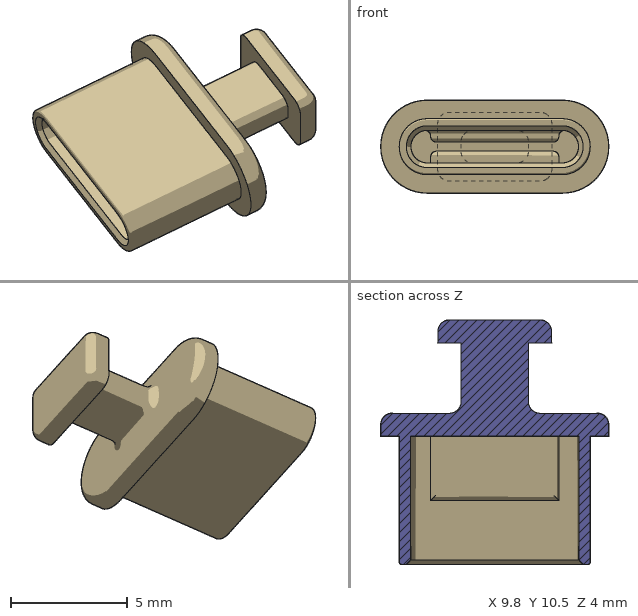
import cadquery as cq

total_length = 10.5
plate_thickness = 1.0
head_thickness = 1.0
neck_length = 3.0
tube_length = total_length - plate_thickness - neck_length - head_thickness

plate_width = 9.8
plate_height = 4.0
tube_width = 8.2
tube_height = 2.4
wall = 0.5
neck_width = 2.9
neck_height = 1.4
head_width = 4.9
head_height = 2.95

edge_radius = 0.5
lip_radius = 0.1
mouth_chamfer = 0.2

rib_width = 5.5
rib_height = 0.5
rib_radius = rib_height / 2
rib_length = tube_length / 2

plate_front = tube_length
plate_back = plate_front + plate_thickness
head_front = plate_back + neck_length
cavity_width = tube_width - 2 * wall
cavity_height = tube_height - 2 * wall
rib_front = tube_length - rib_length
root_margin = 0.1
overlap = wall / 2


def section_plane(y):
    """Sketch plane at the given Y, with its normal toward +Y."""
    return cq.Workplane(cq.Plane(origin=(0, y, 0), xDir=(1, 0, 0), normal=(0, 1, 0)))


def stadium(width, height, y, length):
    return section_plane(y).slot2D(width, height).extrude(length)


def rounded_bar(width, height, y, length):
    return section_plane(y).rect(width, height).extrude(length).edges("|Y").fillet(edge_radius)


def make_handle():
    """Flange plate, neck flared into it, and grip head."""
    plate = stadium(plate_width, plate_height, plate_front, plate_thickness)
    plate = plate.faces(">Y").edges().fillet(edge_radius)
    neck = rounded_bar(neck_width, neck_height, plate_back, neck_length)
    handle = plate.union(neck)
    half_width = neck_width / 2 + root_margin
    half_height = neck_height / 2 + root_margin
    root = cq.selectors.BoxSelector(
        (-half_width, plate_back - root_margin, -half_height),
        (half_width, plate_back + root_margin, half_height),
    )
    handle = handle.edges(root).fillet(edge_radius)
    head = rounded_bar(head_width, head_height, head_front, head_thickness)
    head = head.faces(">Y").edges().fillet(edge_radius)
    return handle.union(head)


def make_tube():
    """Hollow plug with a rounded lip and a bevelled mouth."""
    tube = stadium(tube_width, tube_height, 0, tube_length)
    tube = tube.faces("<Y").edges().fillet(lip_radius)
    cavity = stadium(cavity_width, cavity_height, 0, tube_length)
    return tube.cut(cavity)


def make_mouth_bevel():
    """Tapered cutter that widens the cavity toward its open end."""
    return (
        section_plane(0)
        .slot2D(cavity_width + 2 * mouth_chamfer, cavity_height + 2 * mouth_chamfer)
        .extrude(mouth_chamfer, taper=45)
    )


def rib_outline(flared):
    """Rib seen along Y: rounded free corners, and optionally flared where it meets the wall."""
    root = cavity_height / 2
    tip = root - rib_height
    half = rib_width / 2
    r = rib_radius
    flare = r if flared else 0
    outline = cq.Workplane("XZ", origin=(0, tube_length, 0))
    outline = outline.moveTo(-half - flare, root + overlap).lineTo(-half - flare, root)
    if flared:
        outline = outline.radiusArc((-half, root - r), r)
    else:
        outline = outline.lineTo(-half, tip + r)
    outline = outline.radiusArc((-half + r, tip), -r).lineTo(half - r, tip)
    outline = outline.radiusArc((half, tip + r), -r)
    if flared:
        outline = outline.radiusArc((half + r, root), r)
    else:
        outline = outline.lineTo(half, root)
    return outline.lineTo(half + flare, root + overlap).close().extrude(rib_length + flare)


def rib_side_profile(flared):
    """Rib seen along X: rounded front edge, and optionally a cove running out to the wall."""
    root = cavity_height / 2
    tip = root - rib_height
    r = rib_radius
    profile = cq.Workplane("YZ", origin=(-tube_width / 2, 0, 0))
    if flared:
        profile = profile.moveTo(rib_front - r, root + overlap).lineTo(rib_front - r, root)
        profile = profile.radiusArc((rib_front, root - r), r)
    else:
        profile = profile.moveTo(rib_front, root + overlap).lineTo(rib_front, tip + r)
    profile = profile.radiusArc((rib_front + r, tip), -r)
    profile = profile.lineTo(tube_length, tip).lineTo(tube_length, root + overlap).close()
    return profile.extrude(tube_width)


def make_rib(flared):
    """Rib on the upper wall of the cavity."""
    return rib_outline(flared).intersect(rib_side_profile(flared))


upper_rib = make_rib(flared=True)
lower_rib = make_rib(flared=False).mirror("XY")
plug = make_tube().cut(make_mouth_bevel()).union(upper_rib).union(lower_rib)
result = make_handle().union(plug)